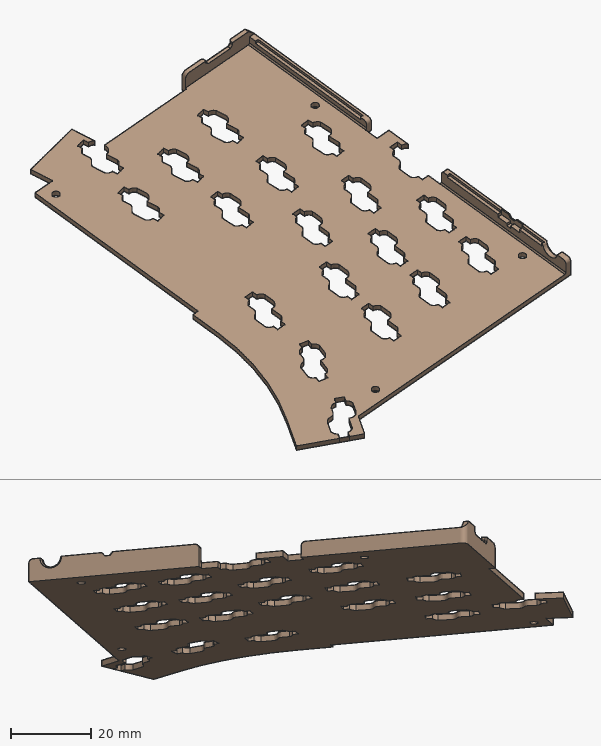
import cadquery as cq
import math

SHEET_THICKNESS = 1.5
SHEET_WIDTH = 112.9
SHEET_DEPTH = 74.7

STEP_X = 58.4
STEP_DROP = 1.8
ARC_START_X = 67.4
ARC_RADIUS = 68.3
THUMB_TILT = 30
THUMB_CORNER = (109.7, -15.7)

TAB_LENGTH = 17.6
LEFT_TAB_TILT = 10
LEFT_TAB_CORNER = (-6.7, 5.0)
TOP_TAB_LEFT = 45.7
TOP_TAB_TOP = 78.8

ROW_PITCH = 17.0
SOCKET_COLUMNS = [
    (2.3, 20.5, 10, 0, 0),
    (18.3, 32.8, 10, 1, -1),
    (37.3, 48.0, 4, 1, -1),
    (57.1, 58.0, 0, 1, -1),
    (75.2, 49.7, 0, 1, -1),
    (93.0, 47.0, 0, 1, -1),
    (69.9, 12.0, 0, 0, 0),
    (91.1, 8.3, -15, 0, 0),
    (110.4, -0.5, -THUMB_TILT, 0, 0),
]
SOCKET_CORNER_RADIUS = 1.8
SOCKET_WAIST_RADIUS = 2.0

SCREW_DIAMETER = 2.0
SCREW_POSITIONS = [(26.5, 71.7), (100.7, 71.7), (109.1, 12.5), (4.0, 3.5)]

WALL_GAP = 0.4
WALL_THICKNESS = 1.7
SIDE_WALL_THICKNESS = 1.3
BACK_FACE = SHEET_DEPTH + WALL_GAP + WALL_THICKNESS
SIDE_FACE = -WALL_GAP - SIDE_WALL_THICKNESS
WALL_ROUND = 1.2
NOTCH_BEVEL = 0.4

LOW_WALL_RIGHT = 41.6
LOW_WALL_HEIGHT = 4.1
HIGH_WALL_LEFT = 68.3
HIGH_WALL_HEIGHT = 5.9
SIDE_WALL_HEIGHT = 6.2
SIDE_WALL_FRONT = 52.7
SIDE_WALL_ROUND = 1.5
OUTER_CORNER_RADIUS = 1.5

REBATE_DEPTH = 0.9
REBATE_DROP = 0.8
LOW_REBATE = (1.8, 39.3)
HIGH_REBATE = (70.5, 104.2)

LATCH_X = 92.4
LATCH_WIDTH = 7.7
LATCH_DROP = 1.8
LATCH_SKIN = 0.4
LATCH_NOTCH_TOP = 2.8
LATCH_NOTCH_BOTTOM = 1.3
LATCH_NOTCH_DROP = 0.9
LATCH_DIP_WIDTH = 1.3
LATCH_DIP_DROP = 0.8

CABLE_X = 107.1
CABLE_RADIUS = 2.5
CABLE_LIP_ROUND = 0.5

SIDE_NOTCH_BACK = 69.2
SIDE_NOTCH_FRONT = 59.9
SIDE_NOTCH_DROP = 1.5
SIDE_NOTCH_TAPER = 0.8


def rotated(x, y, angle):
    """Turn a point about the origin by an angle in degrees."""
    turn = math.radians(angle)
    return (x * math.cos(turn) - y * math.sin(turn), x * math.sin(turn) + y * math.cos(turn))


def offset_point(start, dx, dy, angle=0):
    """Move from a point by a step given in a frame tilted by angle."""
    step = rotated(dx, dy, angle)
    return (start[0] + step[0], start[1] + step[1])


def block(x_range, y_range, z_range):
    """Box between two limits along each axis."""
    size = [high - low for low, high in (x_range, y_range, z_range)]
    return cq.Workplane("XY").box(*size, centered=False).translate((x_range[0], y_range[0], z_range[0]))


def sheet():
    """Flat sheet with the curved thumb edge and the three socket tabs."""
    main = cq.Workplane("XY").rect(SHEET_WIDTH, SHEET_DEPTH, centered=False).extrude(SHEET_THICKNESS)

    arc_end = rotated(0, ARC_RADIUS, -THUMB_TILT)
    arc_mid = rotated(0, ARC_RADIUS, -THUMB_TILT / 2)
    arc_centre = (ARC_START_X, -STEP_DROP - ARC_RADIUS)
    tip = offset_point(THUMB_CORNER, 0, TAB_LENGTH, -THUMB_TILT)
    inner = offset_point(tip, -TAB_LENGTH / 2, 0, -THUMB_TILT)
    thumb = (
        cq.Workplane("XY")
        .moveTo(STEP_X, -STEP_DROP)
        .lineTo(ARC_START_X, -STEP_DROP)
        .threePointArc(offset_point(arc_centre, *arc_mid), offset_point(arc_centre, *arc_end))
        .lineTo(*THUMB_CORNER)
        .lineTo(*tip)
        .lineTo(*inner)
        .lineTo(STEP_X, inner[1])
        .close()
        .extrude(SHEET_THICKNESS)
    )

    left_tab = (
        cq.Workplane("XY")
        .rect(TAB_LENGTH, TAB_LENGTH, centered=False)
        .extrude(SHEET_THICKNESS)
        .rotate((0, 0, 0), (0, 0, 1), LEFT_TAB_TILT)
        .translate(LEFT_TAB_CORNER)
    )
    top_tab = block((TOP_TAB_LEFT, TOP_TAB_LEFT + TAB_LENGTH / 2),
                    (SHEET_DEPTH - 1.3, TOP_TAB_TOP), (0, SHEET_THICKNESS))
    return main.union(thumb).union(left_tab).union(top_tab)


def socket_cutter():
    """Stepped switch socket opening: two offset bodies with a contact slot at each end."""
    return (
        cq.Workplane("XY")
        .moveTo(-6.9, -0.1)
        .lineTo(-6.9, 2.5)
        .lineTo(-5.4, 2.5)
        .radiusArc((-4.1, 4.0), SOCKET_CORNER_RADIUS)
        .lineTo(-1.2, 4.0)
        .radiusArc((0.6, 1.7), SOCKET_WAIST_RADIUS)
        .lineTo(4.1, 1.7)
        .radiusArc((5.4, 0.3), SOCKET_CORNER_RADIUS)
        .lineTo(6.9, 0.3)
        .lineTo(6.9, -2.3)
        .lineTo(5.4, -2.3)
        .radiusArc((4.1, -3.8), SOCKET_CORNER_RADIUS)
        .lineTo(0.6, -3.8)
        .radiusArc((-0.8, -2.7), SOCKET_CORNER_RADIUS)
        .radiusArc((-2.0, -1.7), -SOCKET_CORNER_RADIUS)
        .lineTo(-4.1, -1.7)
        .radiusArc((-5.4, -0.1), SOCKET_CORNER_RADIUS)
        .close()
        .extrude(SHEET_THICKNESS)
    )


def back_wall(left, right, height):
    """Upright wall along the back edge, with a beveled foot on its inner side."""
    inner = SHEET_DEPTH + WALL_GAP
    return (
        cq.Workplane("YZ", origin=(left, 0, 0))
        .moveTo(SHEET_DEPTH, 0)
        .lineTo(BACK_FACE, 0)
        .lineTo(BACK_FACE, height)
        .lineTo(inner, height)
        .lineTo(inner, SHEET_THICKNESS + WALL_GAP)
        .lineTo(SHEET_DEPTH, SHEET_THICKNESS)
        .close()
        .extrude(right - left)
    )


def rebate(x_range, wall_height):
    """Cutter for the step along the inner top edge of a back wall."""
    inner = SHEET_DEPTH + WALL_GAP
    return block(x_range, (inner, inner + REBATE_DEPTH), (wall_height - REBATE_DROP, wall_height))


def low_wall():
    """Low back wall whose left end turns the rounded corner into the side wall."""
    wall = back_wall(SIDE_FACE, LOW_WALL_RIGHT, LOW_WALL_HEIGHT)
    wall = wall.edges("|Y and >X and >Z").fillet(WALL_ROUND)
    return wall.cut(rebate(LOW_REBATE, LOW_WALL_HEIGHT))


def latch_cutter():
    """Recess in the inner face, plus the tapered notch through the wall and the ledge dip."""
    half = LATCH_WIDTH / 2
    inner = SHEET_DEPTH + WALL_GAP
    ledge = HIGH_WALL_HEIGHT - LATCH_DROP
    recess = block((LATCH_X - half, LATCH_X + half), (inner, BACK_FACE - LATCH_SKIN), (ledge, HIGH_WALL_HEIGHT))
    dip = block((LATCH_X - LATCH_DIP_WIDTH / 2, LATCH_X + LATCH_DIP_WIDTH / 2),
                (inner, BACK_FACE - LATCH_SKIN), (ledge - LATCH_DIP_DROP, ledge))
    notch = (
        cq.Workplane("XZ", origin=(0, BACK_FACE, 0))
        .moveTo(LATCH_X - LATCH_NOTCH_TOP / 2, HIGH_WALL_HEIGHT)
        .lineTo(LATCH_X - LATCH_NOTCH_BOTTOM / 2, HIGH_WALL_HEIGHT - LATCH_NOTCH_DROP)
        .lineTo(LATCH_X + LATCH_NOTCH_BOTTOM / 2, HIGH_WALL_HEIGHT - LATCH_NOTCH_DROP)
        .lineTo(LATCH_X + LATCH_NOTCH_TOP / 2, HIGH_WALL_HEIGHT)
        .close()
        .extrude(WALL_THICKNESS)
    )
    return recess.union(dip).union(notch)


def cable_notch(wall):
    """Cut the round cable notch, soften its lips and bevel its outer rim."""
    face = cq.Workplane("XZ", origin=(0, BACK_FACE, 0)).center(CABLE_X, HIGH_WALL_HEIGHT)
    wall = wall.cut(face.circle(CABLE_RADIUS).extrude(BACK_FACE - SHEET_DEPTH))

    reach = CABLE_RADIUS + CABLE_LIP_ROUND
    lip_zone = cq.selectors.BoxSelector(
        (CABLE_X - reach, SHEET_DEPTH, HIGH_WALL_HEIGHT - CABLE_LIP_ROUND),
        (CABLE_X + reach, BACK_FACE, HIGH_WALL_HEIGHT + CABLE_LIP_ROUND),
    )
    wall = wall.edges("|Y and >Z").edges(lip_zone).fillet(CABLE_LIP_ROUND)
    rim = face.circle(CABLE_RADIUS + NOTCH_BEVEL).extrude(NOTCH_BEVEL, taper=45)
    return wall.cut(rim)


def high_wall():
    """High back wall with rounded ends, cable notch, rebate and latch recess."""
    wall = back_wall(HIGH_WALL_LEFT, SHEET_WIDTH, HIGH_WALL_HEIGHT)
    wall = wall.edges("|Y and >Z").fillet(WALL_ROUND)
    wall = cable_notch(wall)
    return wall.cut(rebate(HIGH_REBATE, HIGH_WALL_HEIGHT)).cut(latch_cutter())


def side_notch(growth):
    """Outline of the tapered side wall notch, open above the wall; growth enlarges it all round."""
    top = SIDE_WALL_HEIGHT + NOTCH_BEVEL
    floor = SIDE_WALL_HEIGHT - SIDE_NOTCH_DROP - growth
    front = SIDE_NOTCH_FRONT - growth
    back = SIDE_NOTCH_BACK + growth
    return (
        cq.Workplane("YZ", origin=(SIDE_FACE, 0, 0))
        .moveTo(front, top)
        .lineTo(front, floor + SIDE_NOTCH_TAPER)
        .lineTo(front + SIDE_NOTCH_TAPER, floor)
        .lineTo(back - SIDE_NOTCH_TAPER, floor)
        .lineTo(back, floor + SIDE_NOTCH_TAPER)
        .lineTo(back, top)
        .close()
    )


def side_wall():
    """Left wall that slopes down to the low back wall, with a beveled notch and a web to the sheet."""
    slope = SIDE_WALL_HEIGHT - LOW_WALL_HEIGHT
    wall = block((SIDE_FACE, -WALL_GAP), (SIDE_WALL_FRONT, BACK_FACE), (0, SIDE_WALL_HEIGHT))
    wall = wall.edges("|X and >Z and >Y").chamfer(slope)
    wall = wall.edges("|X and >Z and <Y").fillet(SIDE_WALL_ROUND)
    web = block((-WALL_GAP, 0), (SIDE_WALL_FRONT, BACK_FACE), (0, SHEET_THICKNESS))
    notch = side_notch(0).extrude(SIDE_WALL_THICKNESS)
    bevel = side_notch(NOTCH_BEVEL).extrude(NOTCH_BEVEL, taper=45)
    return wall.cut(notch).cut(bevel).union(web)


def walls():
    """All upright edges, with the outer vertical corner rounded."""
    corner = low_wall().union(side_wall())
    envelope = block((SIDE_FACE, LOW_WALL_RIGHT), (SIDE_WALL_FRONT, BACK_FACE), (0, SIDE_WALL_HEIGHT))
    envelope = envelope.edges("|Z and <X and >Y").fillet(OUTER_CORNER_RADIUS)
    return corner.intersect(envelope).union(high_wall())


result = sheet().union(walls())

for x, y, tilt, highest_row, lowest_row in SOCKET_COLUMNS:
    for row in range(lowest_row, highest_row + 1):
        position = offset_point((x, y), 0, row * ROW_PITCH, tilt)
        socket = socket_cutter().rotate((0, 0, 0), (0, 0, 1), tilt)
        result = result.cut(socket.translate(position))

screw_holes = (
    cq.Workplane("XY")
    .pushPoints(SCREW_POSITIONS)
    .circle(SCREW_DIAMETER / 2)
    .extrude(SHEET_THICKNESS)
)
result = result.cut(screw_holes)